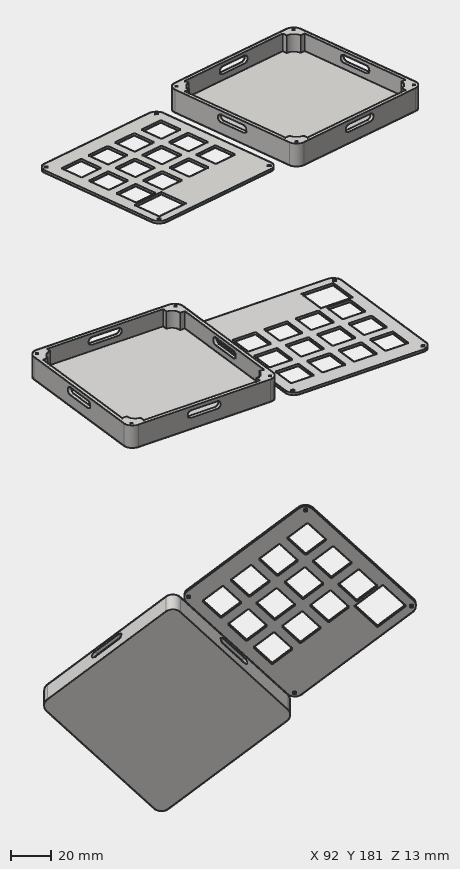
import cadquery as cq

case_side = 90.0
case_height = 13.0
case_corner_radius = 5.0
wall = 2.2
floor_thickness = 3.0
cavity_depth = case_height - floor_thickness
post_reach = 7.8
post_scoop_radius = 4.9

screw_inset = 3.0
pilot_diameter = 1.25
clearance_diameter = 1.8

slot_length = 20.0
slot_height = 4.3
slot_top_margin = 2.2

plate_side = 85.0
plate_thickness = 1.5
plate_corner_radius = 5.0
key_side = 14.0
key_corner_radius = 0.49
key_pitch = 19.0
key_columns = 3
key_rows = 4
first_key_x = 16.5
first_key_y = 14.5
window_width = 17.2
window_height = 19.2
window_x = 71.3
window_y = 14.7

overall_length = 181.0
case_offset_x = 2.0
case_center = (case_offset_x + case_side / 2, overall_length - case_side / 2)
plate_center = (plate_side / 2, plate_side / 2)


def rounded_block(center, width, depth, height, radius, base_z=0.0):
    """Upright block with rounded vertical edges, standing at base_z."""
    return (
        cq.Workplane("XY", origin=(*center, base_z))
        .rect(width, depth)
        .extrude(height)
        .edges("|Z")
        .fillet(radius)
    )


def block(center, width, depth, height, base_z=0.0):
    """Upright block with sharp edges, standing at base_z."""
    return cq.Workplane("XY", origin=(*center, base_z)).rect(width, depth).extrude(height)


def corner_holes(center, side, diameter, depth, base_z):
    """Four round cutters near the corners of a square."""
    spacing = side - 2 * screw_inset
    return (
        cq.Workplane("XY", origin=(*center, base_z))
        .rect(spacing, spacing, forConstruction=True)
        .vertices()
        .circle(diameter / 2)
        .extrude(depth)
    )


def case_cavity():
    """Cross-shaped cavity; what it leaves in the corners are the scooped posts."""
    full = case_side - 2 * wall
    between_posts = full - 2 * post_reach
    scooped = between_posts + 2 * post_scoop_radius
    along_x = block(case_center, full, between_posts, cavity_depth, floor_thickness)
    along_y = block(case_center, between_posts, full, cavity_depth, floor_thickness)
    middle = rounded_block(
        case_center, scooped, scooped, cavity_depth, post_scoop_radius, floor_thickness
    )
    return along_x.union(along_y).union(middle)


def wall_slots():
    """Two crossing slot cutters, each passing through two opposite walls."""
    slot_z = case_height - slot_top_margin - slot_height / 2
    cutters = []
    for plane in ("XZ", "YZ"):
        cutters.append(
            cq.Workplane(plane, origin=(*case_center, slot_z))
            .slot2D(slot_length, slot_height)
            .extrude(case_side, both=True)
        )
    return cutters[0].union(cutters[1])


def make_case():
    """Tray with slotted walls and blind pilot holes as deep as its cavity."""
    body = rounded_block(case_center, case_side, case_side, case_height, case_corner_radius)
    pilots = corner_holes(case_center, case_side, pilot_diameter, cavity_depth, floor_thickness)
    return body.cut(case_cavity()).cut(wall_slots()).cut(pilots)


def make_plate():
    """Flat panel with a grid of key openings, one window and four clearance holes."""
    body = rounded_block(plate_center, plate_side, plate_side, plate_thickness, plate_corner_radius)
    body = body.cut(corner_holes(plate_center, plate_side, clearance_diameter, plate_thickness, 0.0))
    for column in range(key_columns):
        for row in range(key_rows):
            key_center = (first_key_x + column * key_pitch, first_key_y + row * key_pitch)
            body = body.cut(rounded_block(key_center, key_side, key_side, plate_thickness, key_corner_radius))
    return body.cut(block((window_x, window_y), window_width, window_height, plate_thickness))


case = make_case()
plate = make_plate()

result = cq.Compound.makeCompound([case.val(), plate.val()])